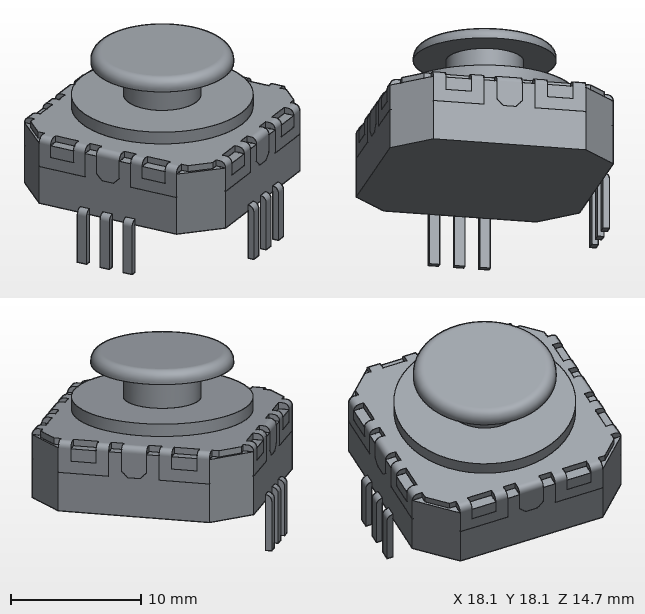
import cadquery as cq
import math


body_width = 17.6
side_flat = 12.0
body_height = 5.6
half_width = body_width / 2
half_flat = side_flat / 2

sheet = 0.5
plate_inset = 0.83
corner_gap = 0.2
tab_drop = 2.48
window_drop = 1.5
middle_tab_chamfer = 0.5
housing_top = body_height - sheet
tab_end = body_height - tab_drop
window_sill = body_height - window_drop

tab_module = side_flat / 12
middle_tab_edge = tab_module
outer_tab_edge = 2 * tab_module
window_inner_edge = 3 * tab_module
window_outer_edge = 5 * tab_module

pin_thickness = 0.5
pin_width = 0.81
pin_pitch = 2.0
pin_length = 4.0

flange_diameter = 14.0
flange_height = 1.0
flange_gap = 0.4
stem_diameter = 6.0
stem_height = 2.72
cap_diameter = 11.0
cap_height = 1.0
cap_round = 0.8

SIDE_ANGLES = (0, 90, 180, 270)


def turned(shape, angle):
    """Copy of a shape built at the -Y side, turned about Z to another side."""
    return shape.rotate((0, 0, 0), (0, 0, 1), angle)


def cut_square(width, corner_leg, bottom, height):
    """Square block with its four upright edges cut at 45 degrees."""
    block = cq.Workplane("XY").workplane(offset=bottom).rect(width, width).extrude(height)
    return block.edges("|Z").chamfer(corner_leg)


def tab_panels():
    """Upright tabs of the -Y side, below their bends: a windowed one at each end, one in the middle."""
    wall = cq.Workplane("XZ", origin=(0, -half_width, 0))
    windowed_outline = [
        (outer_tab_edge, housing_top),
        (outer_tab_edge, tab_end),
        (half_flat, tab_end),
        (half_flat, housing_top),
        (window_outer_edge, housing_top),
        (window_outer_edge, window_sill),
        (window_inner_edge, window_sill),
        (window_inner_edge, housing_top),
    ]
    right_tab = wall.polyline(windowed_outline).close().extrude(-sheet)
    left_tab = right_tab.mirror("YZ")
    middle_outline = [
        (middle_tab_edge, housing_top),
        (middle_tab_edge, tab_end + middle_tab_chamfer),
        (middle_tab_edge - middle_tab_chamfer, tab_end),
        (middle_tab_chamfer - middle_tab_edge, tab_end),
        (-middle_tab_edge, tab_end + middle_tab_chamfer),
        (-middle_tab_edge, housing_top),
    ]
    middle_tab = wall.polyline(middle_outline).close().extrude(-sheet)
    return [left_tab, middle_tab, right_tab]


def bend(start, end):
    """Rounded fold of the -Y side between two X positions, reaching in to the plate."""
    outer = -half_width
    arc_offset = sheet * (1 - math.sqrt(0.5))
    return (
        cq.Workplane("YZ", origin=(start, 0, 0))
        .moveTo(outer, housing_top)
        .threePointArc((outer + arc_offset, body_height - arc_offset), (outer + sheet, body_height))
        .lineTo(outer + plate_inset, body_height)
        .lineTo(outer + plate_inset, housing_top)
        .close()
        .extrude(end - start)
    )


def side_bends():
    """All bends of the -Y side, one above each upright strip of the tabs."""
    return [
        bend(-half_flat, -window_outer_edge),
        bend(-window_inner_edge, -outer_tab_edge),
        bend(-middle_tab_edge, middle_tab_edge),
        bend(outer_tab_edge, window_inner_edge),
        bend(window_outer_edge, half_flat),
    ]


def make_housing():
    """Solid octagonal block with recesses that take the cover's tabs flush."""
    block = cut_square(body_width, half_width - half_flat, 0, housing_top)
    for angle in SIDE_ANGLES:
        for panel in tab_panels():
            block = block.cut(turned(panel, angle))
    return block


def make_cover():
    """Flat plate with bends and tabs along its four sides."""
    plate_width = body_width - 2 * plate_inset
    plate_corner_leg = half_width - half_flat + corner_gap * math.sqrt(2) - 2 * plate_inset
    cover = cut_square(plate_width, plate_corner_leg, housing_top, sheet)
    for angle in SIDE_ANGLES:
        for piece in side_bends() + tab_panels():
            cover = cover.union(turned(piece, angle))
    return cover


def make_pin(offset):
    """Flat pin standing against the -Y side, its outer top edge rounded."""
    inner = -half_width
    outer = inner - pin_thickness
    arc_reach = pin_thickness * math.sqrt(0.5)
    return (
        cq.Workplane("YZ", origin=(offset - pin_width / 2, 0, 0))
        .moveTo(inner, -pin_length)
        .lineTo(outer, -pin_length)
        .lineTo(outer, 0)
        .threePointArc((inner - arc_reach, arc_reach), (inner, pin_thickness))
        .close()
        .extrude(pin_width)
    )


def make_knob():
    """Flange, stem and rounded cap in one piece."""
    flange = (
        cq.Workplane("XY")
        .workplane(offset=body_height + flange_gap)
        .circle(flange_diameter / 2)
        .extrude(flange_height)
    )
    stem = flange.faces(">Z").workplane().circle(stem_diameter / 2).extrude(stem_height)
    cap = stem.faces(">Z").workplane().circle(cap_diameter / 2).extrude(cap_height)
    return cap.faces(">Z").edges().fillet(cap_round)


housing = make_housing()
cover = make_cover()
knob = make_knob()

pins = []
for pin_angle in (0, 90):
    for step in (-1, 0, 1):
        pins.append(turned(make_pin(step * pin_pitch), pin_angle).val())

result = cq.Compound.makeCompound([housing.val(), cover.val(), knob.val(), *pins])